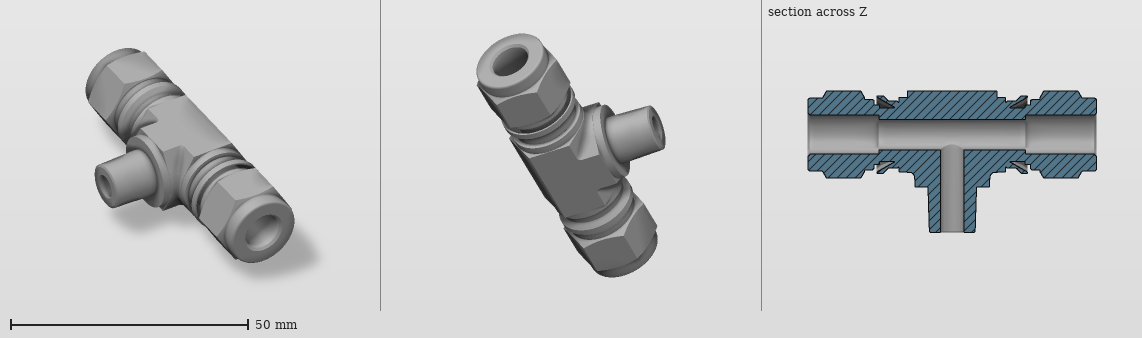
import cadquery as cq
import math

run_half_length = 30.47
hex_flats = 16.0
hex_sides = 6
hex_corners = hex_flats / math.cos(math.pi / hex_sides)
chamfer_slope = math.tan(math.radians(30))
overall_depth = 29.98
branch_end = overall_depth - hex_corners / 2

body_half_length = 9.5
inner_fillet = 1.0

branch_flange_start = 9.37
branch_flange_end = 11.05
branch_flange_diameter = 15.8
thread_diameter = 10.28
thread_straight_end = 12.35
thread_taper = 1 / 16
thread_chamfer_height = 0.45
thread_chamfer_length = thread_chamfer_height * chamfer_slope
branch_bore = 4.8
branch_bore_chamfer = 0.25

shoulder_diameter = 15.8
shoulder_end = 11.28
neck_diameter = 14.2
neck_chamfer = 0.3
flange_diameter = 16.5
flange_start = 14.57
flange_end = 15.95
flange_recess_diameter = 15.8
flange_recess_angle = 30
barrel_diameter = 12.7
barrel_start = 15.3
undercut_diameter = 11.4
collar_diameter = 15.0
collar_start = 16.42
collar_chamfer_length = 0.45
collar_chamfer_height = collar_chamfer_length * chamfer_slope
nut_start = 18.42
nut_end = 27.4
nut_tip_diameter = 15.5
nut_tip_fillet = 0.5

run_bore = 6.35
tube_bore = 8.14
tube_bore_depth = 15.0
tube_mouth_diameter = 9.14
tube_mouth_depth = (tube_mouth_diameter - tube_bore) / 2


def revolve_about_x(points):
    """Revolve an (x, radius) outline about the X axis."""
    return cq.Workplane("XY").polyline(points).close().revolve(360, (0, 0, 0), (1, 0, 0))


def revolve_about_branch(points):
    """Revolve a (distance from the run axis, radius) outline about the branch axis."""
    outline = [(radius, -distance) for distance, radius in points]
    return cq.Workplane("XY").polyline(outline).close().revolve(360, (0, 0, 0), (0, 1, 0))


def hex_along_x(start, end):
    """Hexagonal bar along X with flats at top and bottom."""
    return cq.Workplane("YZ").workplane(offset=start).polygon(hex_sides, hex_corners).extrude(end - start)


def make_body():
    """Two crossing hexagonal bars with rounded corner ridges and filleted inner corners."""
    run_bar = hex_along_x(-body_half_length, body_half_length)
    run_bar = run_bar.edges("|X").edges("<Y").fillet(hex_flats / 2)
    branch_bar = cq.Workplane("XZ").polygon(hex_sides, hex_corners).extrude(branch_flange_start)
    branch_bar = branch_bar.edges("|Y").edges("<X or >X").fillet(hex_flats / 2)
    body = run_bar.union(branch_bar)

    tolerance = 0.01
    inner_corners = [
        edge for edge in body.edges().vals()
        if all(abs(abs(v.X) + v.Y) < tolerance for v in edge.Vertices())
        and edge.BoundingBox().zlen > tolerance
    ]
    return body.newObject(inner_corners).fillet(inner_fillet)


def make_branch():
    """Round flange and tapered thread blank on the -Y side of the body."""
    flange = revolve_about_branch([
        (branch_flange_start, 0),
        (branch_flange_start, branch_flange_diameter / 2),
        (branch_flange_end, branch_flange_diameter / 2),
        (branch_flange_end, 0),
    ])
    straight_radius = thread_diameter / 2
    end_radius = straight_radius - (branch_end - thread_straight_end) * thread_taper / 2
    thread = revolve_about_branch([
        (branch_flange_end, 0),
        (branch_flange_end, straight_radius),
        (thread_straight_end, straight_radius),
        (branch_end - thread_chamfer_length, end_radius),
        (branch_end, end_radius - thread_chamfer_height),
        (branch_end, 0),
    ])
    return flange.union(thread)


def make_run_end():
    """Everything outside the body on the +X side: shoulder, flange, collar and nut."""
    neck_radius = neck_diameter / 2
    flange_radius = flange_diameter / 2
    flange_cone_start = flange_start - (flange_radius - neck_radius)
    collar_radius = collar_diameter / 2
    undercut_radius = undercut_diameter / 2
    recess_radius = flange_recess_diameter / 2
    recess_depth = (recess_radius - undercut_radius) / math.tan(math.radians(flange_recess_angle))
    turned = revolve_about_x([
        (0, 0),
        (0, shoulder_diameter / 2),
        (shoulder_end, shoulder_diameter / 2),
        (shoulder_end, neck_radius - neck_chamfer),
        (shoulder_end + neck_chamfer, neck_radius),
        (flange_cone_start, neck_radius),
        (flange_start, flange_radius),
        (flange_end, flange_radius),
        (flange_end, recess_radius),
        (flange_end - recess_depth, undercut_radius),
        (barrel_start, undercut_radius),
        (barrel_start, barrel_diameter / 2),
        (collar_start, barrel_diameter / 2),
        (collar_start, collar_radius - collar_chamfer_height),
        (collar_start + collar_chamfer_length, collar_radius),
        (nut_start, collar_radius),
        (nut_start, 0),
    ])

    face_radius = nut_tip_diameter / 2
    chamfer_length = (hex_corners / 2 - face_radius) * chamfer_slope
    chamfer_envelope = revolve_about_x([
        (nut_start, 0),
        (nut_start, face_radius),
        (nut_start + chamfer_length, hex_corners / 2),
        (nut_end - chamfer_length, hex_corners / 2),
        (nut_end, face_radius),
        (nut_end, 0),
    ])
    nut = hex_along_x(nut_start, nut_end).intersect(chamfer_envelope)

    tip = cq.Workplane("YZ").workplane(offset=nut_end).circle(nut_tip_diameter / 2)
    tip = tip.extrude(run_half_length - nut_end).faces(">X").edges().fillet(nut_tip_fillet)
    return turned.union(nut).union(tip)


def make_tube_socket():
    """Stepped socket cut into the +X end."""
    return revolve_about_x([
        (run_half_length - tube_bore_depth, 0),
        (run_half_length - tube_bore_depth, tube_bore / 2),
        (run_half_length - tube_mouth_depth, tube_bore / 2),
        (run_half_length, tube_mouth_diameter / 2),
        (run_half_length, 0),
    ])


def make_branch_bore():
    """Bore from the run axis to the branch end, with a small entry chamfer."""
    return revolve_about_branch([
        (0, 0),
        (0, branch_bore / 2),
        (branch_end - branch_bore_chamfer, branch_bore / 2),
        (branch_end, branch_bore / 2 + branch_bore_chamfer),
        (branch_end, 0),
    ])


run_end = make_run_end()
tube_socket = make_tube_socket()
run_through_bore = (
    cq.Workplane("YZ").workplane(offset=-run_half_length)
    .circle(run_bore / 2).extrude(2 * run_half_length)
)

result = make_body().union(make_branch())
result = result.union(run_end).union(run_end.mirror("YZ"))
result = result.cut(run_through_bore).cut(make_branch_bore())
result = result.cut(tube_socket).cut(tube_socket.mirror("YZ"))